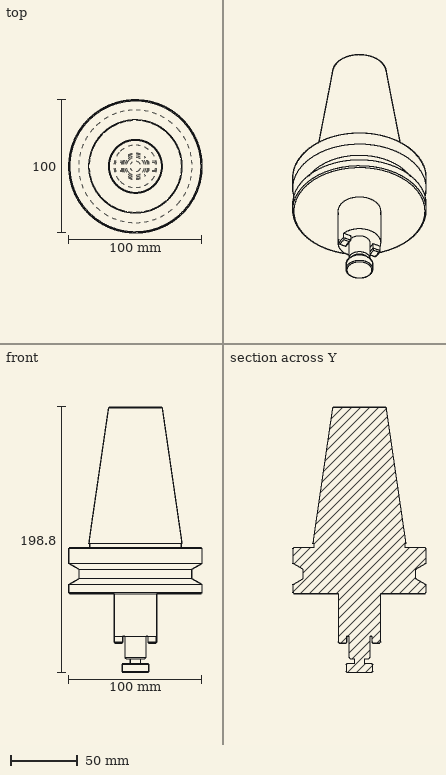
import cadquery as cq
import math

gauge_radius = 35.0
taper_length = 102.0
taper_ratio = 7 / 24
top_radius = gauge_radius - taper_length * taper_ratio / 2
top_chamfer = 0.5
relief_radius = 34.4

flange_radius = 100.0 / 2
flange_top = -3.0
flange_bottom = -37.8
flange_chamfer = 1.0
groove_radius = 42.3
groove_floor_top = -19.5
groove_floor_bottom = -26.5
groove_flare = (flange_radius - groove_radius) * math.tan(math.radians(30))

total_length = 198.8
bottom = taper_length - total_length
arbor_radius = 32.0 / 2
arbor_bottom = -69.5
pilot_radius = 8.0
pilot_bottom = bottom + 10.1
pilot_chamfer = 1.2
screw_radius = 4.0
head_radius = 20.0 / 2
head_top = bottom + 7.0
head_chamfer = 0.8

key_width = 8.0
key_inner = 9.3
key_height = 5.4
key_chamfer = 1.0


def frustum(z_low, radius_low, z_high, radius_high):
    """Solid of revolution about Z between two radii."""
    profile = [(0, z_low), (radius_low, z_low), (radius_high, z_high), (0, z_high)]
    return cq.Workplane("XZ").polyline(profile).close().revolve(360, (0, 0), (0, 1))


def cylinder(radius, z_low, z_high):
    return frustum(z_low, radius, z_high, radius)


def make_taper():
    cone = frustum(0, gauge_radius, taper_length, top_radius)
    cone = cone.faces(">Z").chamfer(top_chamfer)
    return cone.union(cylinder(relief_radius, flange_top, 0))


def make_flange():
    flange = cylinder(flange_radius, flange_bottom, flange_top)
    flange = flange.faces("<Z or >Z").chamfer(flange_chamfer)
    groove = (
        cq.Workplane("XZ")
        .moveTo(groove_radius, groove_floor_bottom)
        .lineTo(flange_radius, groove_floor_bottom - groove_flare)
        .lineTo(flange_radius, groove_floor_top + groove_flare)
        .lineTo(groove_radius, groove_floor_top)
        .close()
        .revolve(360, (0, 0), (0, 1))
    )
    return flange.cut(groove)


def make_key(side):
    """Drive key on the +X (side = 1) or -X (side = -1) edge of the arbor face."""
    length = arbor_radius - key_inner
    block = cq.Workplane("XY").box(length, key_width, key_height)
    block = block.translate((side * (key_inner + length / 2), 0, arbor_bottom - key_height / 2))
    key = block.intersect(cylinder(arbor_radius, arbor_bottom - key_height, arbor_bottom))
    return key.faces("<Z").chamfer(key_chamfer)


def make_pilot():
    pilot = cylinder(pilot_radius, pilot_bottom, arbor_bottom)
    return pilot.faces("<Z").chamfer(pilot_chamfer)


def make_screw():
    head = cylinder(head_radius, bottom, head_top)
    head = head.faces("<Z or >Z").chamfer(head_chamfer)
    return head.union(cylinder(screw_radius, head_top, pilot_bottom))


arbor = cylinder(arbor_radius, arbor_bottom, flange_bottom)
result = make_taper().union(make_flange()).union(arbor)
result = result.union(make_pilot()).union(make_screw())
for key_side in (-1, 1):
    result = result.union(make_key(key_side))